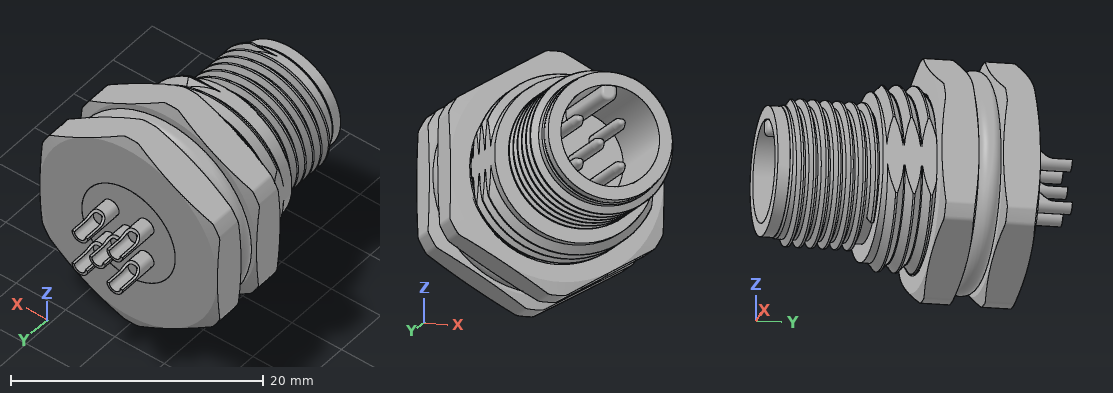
import cadquery as cq
import math


NOSE_LENGTH = 1.0
SHOULDER_Y = 8.2
NUT_FRONT_Y = 12.5
HEX_THICKNESS = 3.01
RING_THICKNESS = 1.98
TOTAL_LENGTH = 24.5
NUT_REAR_Y = NUT_FRONT_Y + HEX_THICKNESS
FLANGE_FRONT_Y = NUT_REAR_Y + RING_THICKNESS
FLANGE_REAR_Y = FLANGE_FRONT_Y + HEX_THICKNESS

HEX_ACROSS_FLATS = 17.98
HEX_ACROSS_CORNERS = 20.0
HEX_CORNER_BLEND = 0.74
HEX_CHAMFER_DEPTH = 0.32
NUT_TURN = 0.65

FRONT_ROOT_RADIUS = 10.65 / 2
FRONT_CREST_RADIUS = 11.8 / 2
FRONT_PITCH = 1.0
FRONT_BASE_WIDTH = 0.74
FRONT_CREST_WIDTH = 0.2
FRONT_THREAD_START_Y = 1.6
FRONT_THREAD_TURNS = 6.4

REAR_ROOT_RADIUS = 13.62 / 2
REAR_CREST_RADIUS = 14.92 / 2
REAR_PITCH = 1.42
REAR_BASE_WIDTH = 1.32
REAR_CREST_WIDTH = 0.15
REAR_THREAD_START_Y = 8.85
REAR_FLATS_WIDTH = 13.52
NUT_THREAD_CLEARANCE = 0.12
THREAD_EMBED = 0.02
TIP_SCALE = 0.03

HOUSING_BORE_RADIUS = 9.45 / 2
FRONT_CHAMFER_LENGTH = 0.2
FRONT_CHAMFER_DEPTH = 0.17

NOSE_RADIUS = 10.45 / 2
INSERT_RADIUS = 9.43 / 2
SOCKET_RADIUS = 8.3 / 2
SOCKET_DEPTH = 8.58
KEY_WIDTH = 1.3
KEY_BOTTOM_Z = 2.92
KEY_FRONT_Y = 0.12
KEY_FRONT_BLEND = 0.32

PIN_OFFSET = 1.76
PIN_RADIUS = 1.0 / 2
PIN_TIP_Y = 2.0
PIN_TIP_RADIUS = 0.3
PIN_DOME_LENGTH = 0.22
PIN_CONE_LENGTH = 0.74
CUP_RADIUS = 1.6 / 2
CUP_BORE_RADIUS = 1.1 / 2
CUP_BORE_DEPTH = 2.4
CUP_FLAT_LENGTH = 1.47
CUP_ARC_RADIUS = 1.1

ARC_MIDDLE = math.sqrt(0.5)


def revolve_about_y(outline):
    """Revolve a closed outline of X radius and Y station about the Y axis."""
    return outline.close().revolve(360, (0, 0, 0), (0, 1, 0))


def rod(radius, front_y, rear_y):
    """Round rod along Y."""
    outline = (
        cq.Workplane("XY")
        .moveTo(0, front_y)
        .lineTo(radius, front_y)
        .lineTo(radius, rear_y)
        .lineTo(0, rear_y)
    )
    return revolve_about_y(outline)


def hexagon(front_y):
    """Hexagon with corners up and down, corners turned round and both faces chamfered."""
    rear_y = front_y + HEX_THICKNESS
    corner_radius = HEX_ACROSS_CORNERS / 2
    flat_radius = HEX_ACROSS_FLATS / 2
    prism = (
        cq.Workplane("XZ", origin=(0, rear_y, 0))
        .transformed(rotate=(0, 0, 90))
        .polygon(6, HEX_ACROSS_FLATS / math.cos(math.pi / 6))
        .extrude(HEX_THICKNESS)
        .intersect(rod(corner_radius, front_y, rear_y))
        .edges("|Y")
        .fillet(HEX_CORNER_BLEND)
    )
    chamfer_outline = (
        cq.Workplane("XY")
        .moveTo(0, front_y)
        .lineTo(flat_radius, front_y)
        .lineTo(corner_radius, front_y + HEX_CHAMFER_DEPTH)
        .lineTo(corner_radius, rear_y - HEX_CHAMFER_DEPTH)
        .lineTo(flat_radius, rear_y)
        .lineTo(0, rear_y)
    )
    return prism.intersect(revolve_about_y(chamfer_outline))


def thread_ridge(root_radius, crest_radius, pitch, base_width, crest_width, start_y, end_y):
    """Right-hand helical ridge whose straight run-in rises from a tip on top of the barrel."""
    run_in_angle = math.degrees(math.acos(root_radius / crest_radius))
    run_in_rise = pitch * run_in_angle / 360

    def section(scale):
        """Closed wire of the ridge section in the XZ plane, with the thread axis along Z."""
        flank_run = (base_width - crest_width) / 2 / (crest_radius - root_radius)
        half_foot = scale * base_width / 2 + THREAD_EMBED * flank_run
        half_crest = scale * crest_width / 2
        foot = root_radius - THREAD_EMBED
        crest = root_radius + scale * (crest_radius - root_radius)
        points = [
            (foot, 0, -half_foot),
            (crest, 0, -half_crest),
            (crest, 0, half_crest),
            (foot, 0, half_foot),
        ]
        return cq.Wire.makePolygon([cq.Vector(*point) for point in points], close=True)

    full_section = section(1)
    tip_section = section(TIP_SCALE).rotate(cq.Vector(), cq.Vector(0, 0, 1), -run_in_angle)
    tip_section = tip_section.translate(cq.Vector(0, 0, -run_in_rise))
    run_in = cq.Solid.makeLoft([tip_section, full_section], True)
    helix = cq.Wire.makeHelix(pitch, end_y - start_y - run_in_rise, root_radius)
    ridge = cq.Solid.sweep(full_section, [], helix, True, True)
    return (
        cq.Workplane(ridge)
        .union(cq.Workplane(run_in))
        .rotate((0, 0, 0), (0, 0, 1), run_in_angle - 90)
        .rotate((0, 0, 0), (1, 0, 0), -90)
        .translate((0, start_y + run_in_rise, 0))
    )


def front_ridge():
    """Ridge of the coupling thread."""
    return thread_ridge(
        FRONT_ROOT_RADIUS, FRONT_CREST_RADIUS, FRONT_PITCH, FRONT_BASE_WIDTH, FRONT_CREST_WIDTH,
        FRONT_THREAD_START_Y, FRONT_THREAD_START_Y + FRONT_THREAD_TURNS * FRONT_PITCH,
    )


def rear_threaded_rod(clearance):
    """Solid rod with the mounting thread grown by a radial clearance, smooth behind the nut."""
    root_radius = REAR_ROOT_RADIUS + clearance
    ridge = thread_ridge(
        root_radius, REAR_CREST_RADIUS + clearance, REAR_PITCH, REAR_BASE_WIDTH, REAR_CREST_WIDTH,
        REAR_THREAD_START_Y, NUT_REAR_Y + REAR_PITCH,
    )
    ridge = ridge.intersect(rod(HEX_ACROSS_FLATS / 2, SHOULDER_Y, NUT_REAR_Y))
    return rod(root_radius, SHOULDER_Y, FLANGE_FRONT_Y).union(ridge)


def build_housing():
    """Hexagonal flange, flatted mounting barrel and threaded front barrel, bored through."""
    flats = cq.Workplane("XY").box(REAR_FLATS_WIDTH, 2 * TOTAL_LENGTH, 2 * TOTAL_LENGTH)
    mounting_barrel = rear_threaded_rod(0).intersect(flats)
    front_barrel_outline = (
        cq.Workplane("XY")
        .moveTo(0, NOSE_LENGTH)
        .lineTo(FRONT_ROOT_RADIUS - FRONT_CHAMFER_DEPTH, NOSE_LENGTH)
        .lineTo(FRONT_ROOT_RADIUS, NOSE_LENGTH + FRONT_CHAMFER_LENGTH)
        .lineTo(FRONT_ROOT_RADIUS, SHOULDER_Y)
        .lineTo(0, SHOULDER_Y)
    )
    front_barrel = revolve_about_y(front_barrel_outline)
    return (
        hexagon(FLANGE_FRONT_Y)
        .union(mounting_barrel)
        .union(front_barrel)
        .union(front_ridge())
        .cut(rod(HOUSING_BORE_RADIUS, NOSE_LENGTH, FLANGE_REAR_Y))
    )


def build_nut():
    """Hexagonal nut whose thread clears the mounting barrel."""
    turned_hexagon = hexagon(NUT_FRONT_Y).rotate((0, 0, 0), (0, 1, 0), -NUT_TURN)
    return turned_hexagon.cut(rear_threaded_rod(NUT_THREAD_CLEARANCE))


def build_sealing_ring():
    """O-ring filling the gap between the nut and the flange."""
    section_radius = RING_THICKNESS / 2
    ring_radius = HEX_ACROSS_FLATS / 2 - section_radius
    middle_y = NUT_REAR_Y + section_radius
    ring = cq.Solid.makeTorus(ring_radius, section_radius, cq.Vector(0, middle_y, 0), cq.Vector(0, 1, 0))
    return cq.Workplane(ring)


def coding_key():
    """Round-bottomed key hanging from the top of the socket, rounded at its front."""
    half_width = KEY_WIDTH / 2
    arc_center_z = KEY_BOTTOM_Z + half_width
    key = (
        cq.Workplane("XZ", origin=(0, SOCKET_DEPTH, 0))
        .moveTo(-half_width, INSERT_RADIUS)
        .lineTo(-half_width, arc_center_z)
        .threePointArc((0, KEY_BOTTOM_Z), (half_width, arc_center_z))
        .lineTo(half_width, INSERT_RADIUS)
        .close()
        .extrude(SOCKET_DEPTH - KEY_FRONT_Y)
    )
    key = key.faces("<Y").edges("not(>Z)").fillet(KEY_FRONT_BLEND)
    return key.intersect(rod((SOCKET_RADIUS + INSERT_RADIUS) / 2, 0, SOCKET_DEPTH))


def pin_places():
    """X and Z of the contacts: one on the axis and one at each corner of a square."""
    corners = [(x, z) for x in (-PIN_OFFSET, PIN_OFFSET) for z in (-PIN_OFFSET, PIN_OFFSET)]
    return [(0, 0), *corners]


def build_insert():
    """Insulating insert with the nose, the keyed socket and the contact holes."""
    insert = (
        rod(NOSE_RADIUS, 0, NOSE_LENGTH)
        .union(rod(INSERT_RADIUS, NOSE_LENGTH, FLANGE_REAR_Y))
        .cut(rod(SOCKET_RADIUS, 0, SOCKET_DEPTH))
        .union(coding_key())
    )
    narrow_hole = rod(PIN_RADIUS, SOCKET_DEPTH, FLANGE_FRONT_Y)
    wide_hole = rod(CUP_RADIUS, FLANGE_FRONT_Y, FLANGE_REAR_Y)
    hole = narrow_hole.union(wide_hole)
    for x, z in pin_places():
        insert = insert.cut(hole.translate((x, 0, z)))
    return insert


def build_pin(x, z):
    """Contact with a pointed front end and a half-open solder cup at the rear."""
    cone_start_y = PIN_TIP_Y + PIN_DOME_LENGTH
    outline = (
        cq.Workplane("XY")
        .moveTo(0, PIN_TIP_Y)
        .threePointArc(
            (PIN_TIP_RADIUS * ARC_MIDDLE, cone_start_y - PIN_DOME_LENGTH * ARC_MIDDLE),
            (PIN_TIP_RADIUS, cone_start_y),
        )
        .lineTo(PIN_RADIUS, cone_start_y + PIN_CONE_LENGTH)
        .lineTo(PIN_RADIUS, FLANGE_FRONT_Y)
        .lineTo(CUP_RADIUS, FLANGE_FRONT_Y)
        .lineTo(CUP_RADIUS, TOTAL_LENGTH)
        .lineTo(0, TOTAL_LENGTH)
    )
    cup_bore = rod(CUP_BORE_RADIUS, TOTAL_LENGTH - CUP_BORE_DEPTH, TOTAL_LENGTH)
    arc_start_y = TOTAL_LENGTH - CUP_FLAT_LENGTH
    cup_opening = (
        cq.Workplane("YZ")
        .moveTo(TOTAL_LENGTH, 0)
        .lineTo(arc_start_y, 0)
        .threePointArc(
            (arc_start_y - CUP_ARC_RADIUS * ARC_MIDDLE, CUP_ARC_RADIUS * (1 - ARC_MIDDLE)),
            (arc_start_y - CUP_ARC_RADIUS, CUP_ARC_RADIUS),
        )
        .lineTo(TOTAL_LENGTH, CUP_ARC_RADIUS)
        .close()
        .extrude(CUP_RADIUS, both=True)
    )
    return revolve_about_y(outline).cut(cup_bore).cut(cup_opening).translate((x, 0, z))


housing = build_housing()
nut = build_nut()
sealing_ring = build_sealing_ring()
insert = build_insert()
pins = [build_pin(x, z).val() for x, z in pin_places()]

result = cq.Compound.makeCompound([housing.val(), nut.val(), sealing_ring.val(), insert.val(), *pins])